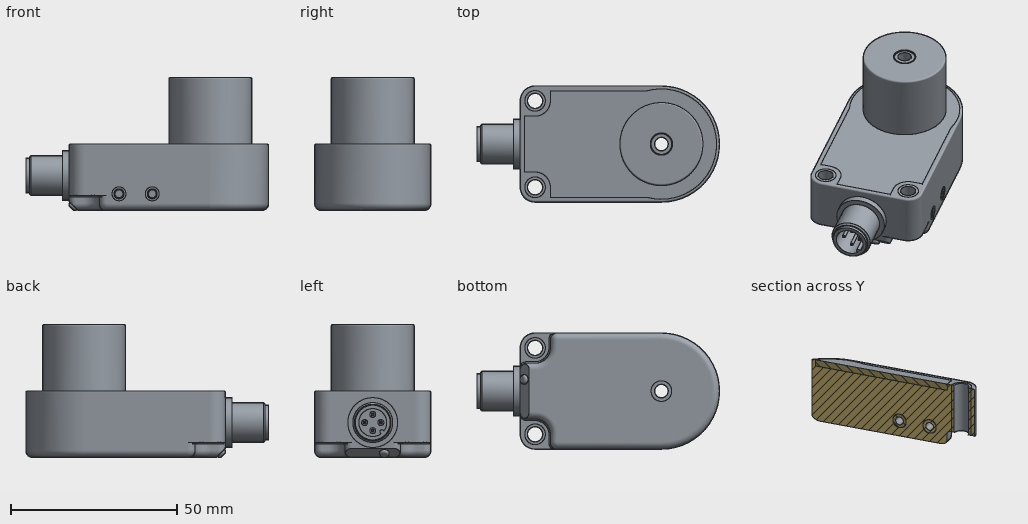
import cadquery as cq
import math

length = 60.0
width = 35.0
height = 20.0
nose_radius = width / 2
nose_x = length - nose_radius
corner_radius = 4.5
top_edge_fillet = 0.5

mount_x = corner_radius
mount_y = width / 2 - corner_radius
mount_hole_diameter = 4.5
mount_sleeve_diameter = 6.2
relief_radius = 4.6
relief_height = 4.5
relief_root_chamfer = 0.45
relief_edge_radius = 2.0
bottom_edge_fillet = 1.99
end_chamfer = 2.7

dome_y = -3.5
dome_radius = 1.45
dome_fillet = 0.7
dome_height = 0.98

cover_thickness = 2.0
cover_end_gap = 1.3
cover_side_gap = 1.5
cover_nose_radius = 16.6
cover_corner_radius = 4.6
tube_diameter = 25.0
tube_height = 20.0
tube_top_fillet = 0.5

guide_diameter = 6.2
guide_bore = 4.0
guide_seat_chamfer = 0.25

insert_positions_x = (15.0, 25.0)
insert_z = 5.0
insert_diameter = 4.2
insert_length = 6.0
insert_hole_diameter = 2.4
insert_hole_depth = 5.0
insert_chamfer = 0.3

connector_z = 10.5
connector_length = 13.0
flange_diameter = 15.0
flange_length = 2.0
barrel_diameter = 12.0
barrel_chamfer = 0.5
tip_diameter = 10.5
tip_length = 1.0
cavity_diameter = 8.4
cavity_depth = 10.0
pin_count = 4
pin_circle_radius = 2.45
pin_diameter = 0.9
pin_tip_chamfer = 0.2
pin_tip_setback = 1.9
pin_collar_diameter = 1.8
pin_collar_length = 1.0
key_angle = 45.0
key_width = 1.2
key_tip_radius = 3.3


def cylinder(diameter, cylinder_length, origin, direction):
    solid = cq.Solid.makeCylinder(diameter / 2, cylinder_length, cq.Vector(*origin), cq.Vector(*direction))
    return cq.Workplane(obj=solid)


def housing_outline(plane):
    """Plan outline of the block with plain corner rounds and the half-round nose."""
    corner_shift = corner_radius * math.sqrt(0.5)
    return (
        plane.moveTo(corner_radius, -width / 2)
        .lineTo(nose_x, -width / 2)
        .threePointArc((length, 0), (nose_x, width / 2))
        .lineTo(corner_radius, width / 2)
        .threePointArc((mount_x - corner_shift, mount_y + corner_shift), (0, mount_y))
        .lineTo(0, -mount_y)
        .threePointArc((mount_x - corner_shift, -mount_y - corner_shift), (corner_radius, -width / 2))
        .close()
    )


def foot_outline(plane):
    """Plan outline of the underside, hollowed around both mounting corners."""
    inner_y = mount_y - relief_radius
    inner_x = mount_x + relief_radius
    arc_shift = relief_radius * math.sqrt(0.5)
    arc_x = mount_x + arc_shift
    arc_y = mount_y - arc_shift
    return (
        plane.moveTo(inner_x, -width / 2)
        .lineTo(nose_x, -width / 2)
        .threePointArc((length, 0), (nose_x, width / 2))
        .lineTo(inner_x, width / 2)
        .lineTo(inner_x, mount_y)
        .threePointArc((arc_x, arc_y), (mount_x, inner_y))
        .lineTo(0, inner_y)
        .lineTo(0, -inner_y)
        .lineTo(mount_x, -inner_y)
        .threePointArc((arc_x, -arc_y), (inner_x, -mount_y))
        .close()
    )


def cover_outline(plane):
    """Plan outline of the cover plate, stepping around both mounting corners."""
    side_y = width / 2 - cover_side_gap
    nose_start_x = nose_x - math.sqrt(cover_nose_radius**2 - side_y**2)
    inner_x = mount_x + cover_corner_radius
    inner_y = mount_y - cover_corner_radius
    arc_shift = cover_corner_radius * math.sqrt(0.5)
    arc_x = mount_x + arc_shift
    arc_y = mount_y - arc_shift
    return (
        plane.moveTo(inner_x, -side_y)
        .lineTo(nose_start_x, -side_y)
        .threePointArc((nose_x + cover_nose_radius, 0), (nose_start_x, side_y))
        .lineTo(inner_x, side_y)
        .lineTo(inner_x, mount_y)
        .threePointArc((arc_x, arc_y), (mount_x, inner_y))
        .lineTo(cover_end_gap, inner_y)
        .lineTo(cover_end_gap, -inner_y)
        .lineTo(mount_x, -inner_y)
        .threePointArc((arc_x, -arc_y), (inner_x, -mount_y))
        .close()
    )


def make_foot():
    edge_corners = [
        (x, side * y, relief_height / 2)
        for side in (-1, 1)
        for x, y in ((mount_x + relief_radius, width / 2), (0, mount_y - relief_radius))
    ]
    foot = foot_outline(cq.Workplane()).extrude(relief_height)
    for corner in edge_corners:
        foot = foot.edges(cq.selectors.NearestToPointSelector(corner)).fillet(relief_edge_radius)
    return foot.faces("<Z").edges().fillet(bottom_edge_fillet)


def make_relief_root(foot):
    """Foot outline flaring out at 45 degrees to meet the relief ceiling, kept off the outer faces."""
    foot_top = foot.faces(">Z").wires().translate((0, 0, -relief_root_chamfer))
    flare = foot_top.toPending().extrude(relief_root_chamfer, taper=-45)
    inset_block = housing_outline(cq.Workplane()).offset2D(-relief_root_chamfer).extrude(relief_height)
    return flare.intersect(inset_block)


def make_end_chamfer():
    profile = cq.Workplane("XZ").polyline([(0, 0), (end_chamfer, 0), (0, end_chamfer)]).close()
    return profile.extrude(width / 2, both=True)


def make_dome():
    chamfer_plane = cq.Plane(
        origin=(end_chamfer / 2, dome_y, end_chamfer / 2), xDir=(0, 1, 0), normal=(-1, 0, -1)
    )
    dome = cq.Workplane(chamfer_plane).circle(dome_radius).extrude(dome_height)
    return dome.faces(cq.selectors.DirectionMinMaxSelector(cq.Vector(-1, 0, -1))).edges().fillet(dome_fillet)


def make_cover_plate():
    base = cq.Workplane().workplane(offset=height - cover_thickness)
    return cover_outline(base).extrude(cover_thickness)


def make_cover():
    tube = cylinder(tube_diameter, tube_height, (nose_x, 0, height), (0, 0, 1))
    tube = tube.faces(">Z").edges().fillet(tube_top_fillet)
    cover = make_cover_plate().union(tube).cut(make_guide_bore())
    return cover.faces(">Z").edges(cq.selectors.RadiusNthSelector(0)).chamfer(guide_seat_chamfer)


def make_guide_bore():
    return cylinder(guide_diameter, height + tube_height, (nose_x, 0, 0), (0, 0, 1))


def make_guide_sleeve():
    return make_guide_bore().cut(cylinder(guide_bore, height + tube_height, (nose_x, 0, 0), (0, 0, 1)))


def make_mount_pillar(side, diameter):
    origin = (mount_x, side * mount_y, relief_height)
    return cylinder(diameter, height - relief_height, origin, (0, 0, 1))


def make_mount_sleeve(side):
    return make_mount_pillar(side, mount_sleeve_diameter).cut(make_mount_pillar(side, mount_hole_diameter))


def make_insert_blank(x):
    return cylinder(insert_diameter, insert_length, (x, -width / 2, insert_z), (0, 1, 0))


def make_insert(x):
    hole = cylinder(insert_hole_diameter, insert_hole_depth, (x, -width / 2, insert_z), (0, 1, 0))
    insert = make_insert_blank(x).cut(hole)
    return insert.faces("<Y").edges(cq.selectors.RadiusNthSelector(0)).chamfer(insert_chamfer)


def make_connector():
    floor_x = cavity_depth - connector_length
    barrel_end_x = tip_length - connector_length

    def along_x(diameter, start_x, end_x, y=0.0, z=0.0):
        return cylinder(diameter, end_x - start_x, (start_x, y, connector_z + z), (1, 0, 0))

    barrel = along_x(barrel_diameter, barrel_end_x, 0).faces("<X").edges().chamfer(barrel_chamfer)
    shell = (
        barrel.union(along_x(flange_diameter, -flange_length, 0))
        .union(along_x(tip_diameter, -connector_length, barrel_end_x))
        .cut(along_x(cavity_diameter, -connector_length, floor_x))
    )

    key_centre_radius = key_tip_radius + key_width / 2
    mid_wall_diameter = (cavity_diameter + tip_diameter) / 2
    key_reach = mid_wall_diameter / 2 - key_centre_radius
    nose = along_x(key_width, -connector_length, floor_x, z=-key_centre_radius)
    rib = cq.Workplane().box(cavity_depth, key_width, key_reach, centered=(False, True, False))
    rib = rib.translate((-connector_length, 0, connector_z - key_centre_radius - key_reach))
    key = nose.union(rib).rotate((0, 0, connector_z), (1, 0, connector_z), -key_angle)
    connector = shell.union(key)

    for index in range(pin_count):
        angle = 2 * math.pi * index / pin_count
        y = pin_circle_radius * math.cos(angle)
        z = pin_circle_radius * math.sin(angle)
        pin = along_x(pin_diameter, pin_tip_setback - connector_length, floor_x, y, z)
        pin = pin.faces("<X").edges().chamfer(pin_tip_chamfer)
        collar = along_x(pin_collar_diameter, floor_x - pin_collar_length, floor_x, y, z)
        connector = connector.union(pin).union(collar)
    return connector


def make_housing():
    body = housing_outline(cq.Workplane().workplane(offset=relief_height)).extrude(height - relief_height)
    body = body.faces(">Z").edges().fillet(top_edge_fillet)
    foot = make_foot()
    housing = body.union(foot).union(make_relief_root(foot))
    housing = housing.cut(make_end_chamfer()).union(make_dome()).cut(make_cover_plate())
    housing = housing.cut(make_guide_bore())
    for side in (-1, 1):
        housing = housing.cut(make_mount_pillar(side, mount_sleeve_diameter))
    for x in insert_positions_x:
        housing = housing.cut(make_insert_blank(x))
    return housing


housing = make_housing()
cover = make_cover()
guide_sleeve = make_guide_sleeve()
mount_sleeves = [make_mount_sleeve(side) for side in (-1, 1)]
inserts = [make_insert(x) for x in insert_positions_x]
connector = make_connector()

bodies = [housing, cover, guide_sleeve, connector, *mount_sleeves, *inserts]
result = cq.Compound.makeCompound([body.val() for body in bodies])